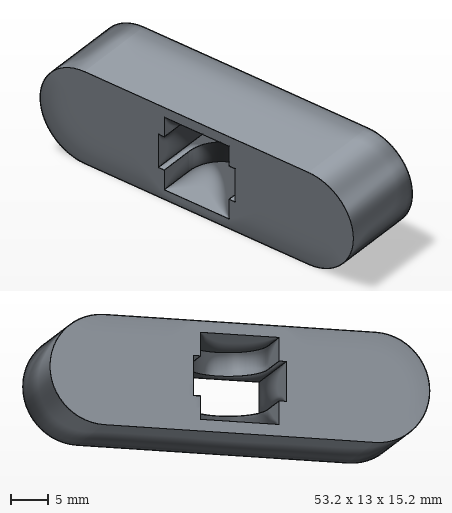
import cadquery as cq

BODY_LENGTH = 53.2
BODY_HEIGHT = 15.2
BODY_DEPTH = 13.0

SLOT_WIDTH = 13.0
SLOT_HEIGHT = 5.5

POCKET_WIDTH = 11.0
POCKET_HEIGHT = 12.0
POCKET_STRAIGHT_DEPTH = 5.5

FRONT_Y = -BODY_DEPTH / 2


def make_body():
    """Bar with a stadium-shaped profile in the XZ plane."""
    profile = cq.Workplane("XZ").slot2D(BODY_LENGTH, BODY_HEIGHT)
    return profile.extrude(BODY_DEPTH / 2, both=True)


def make_slot():
    """Rectangular cutter passing through the whole depth."""
    return cq.Workplane("XY").box(SLOT_WIDTH, BODY_DEPTH, SLOT_HEIGHT)


def make_pocket():
    """Pocket cutter: straight sides from the front face, closed by a half circle."""
    radius = POCKET_WIDTH / 2
    arc_start_y = FRONT_Y + POCKET_STRAIGHT_DEPTH
    outline = (
        cq.Workplane("XY")
        .moveTo(-radius, FRONT_Y)
        .lineTo(radius, FRONT_Y)
        .lineTo(radius, arc_start_y)
        .threePointArc((0, arc_start_y + radius), (-radius, arc_start_y))
        .close()
    )
    return outline.extrude(POCKET_HEIGHT / 2, both=True)


result = make_body().cut(make_slot()).cut(make_pocket())